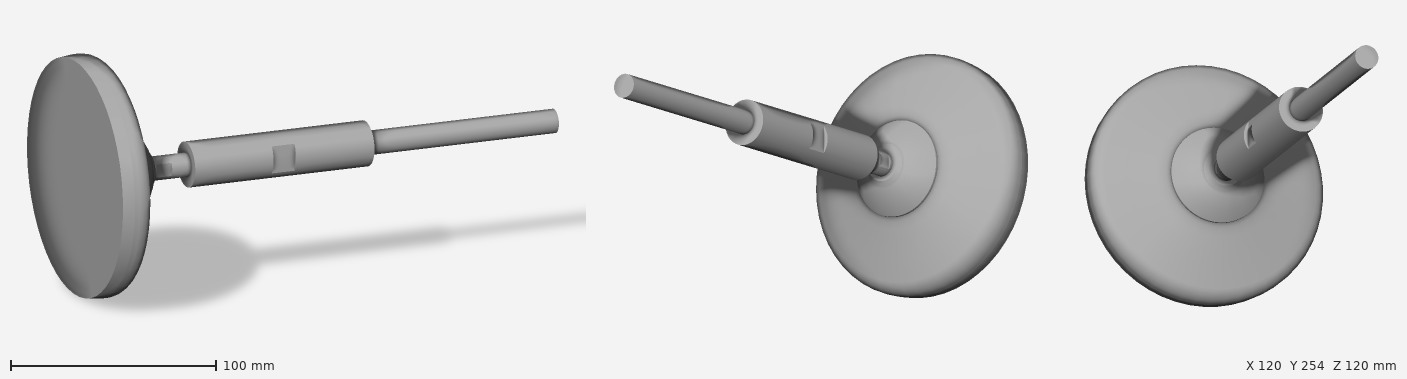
import cadquery as cq
import math

total_length = 254.0

rim_radius = 60.0
base_radius = 59.2
taper_height = 6.0
rim_top = 9.1
shoulder_radius = 7.5
cone_angle = math.radians(17.8)
dome_radius = 24.0
dome_base = 27.7
dome_mid_radius = 16.8
dome_mid = 34.3
dome_top_radius = 10.0
dome_top = 37.5
collar_radius = 10.7
collar_top_radius = 8.5
collar_top = 39.0

spindle_diameter = 12.0
spindle_across_flats = 10.0
spindle_flat_start = 41.0
spindle_flat_length = 8.1

sleeve_diameter = 22.5
sleeve_start = 59.0
sleeve_length = 95.0
sleeve_across_flats = 18.0
sleeve_flat_length = 12.0

base_y = -total_length / 2


def cylinder_along_y(diameter, start, length):
    """Cylinder on the Y axis, starting at a height above the resting face."""
    plane = cq.Plane(origin=(0, base_y + start, 0), xDir=(1, 0, 0), normal=(0, 1, 0))
    return cq.Workplane(plane).circle(diameter / 2).extrude(length)


def cut_wrench_flats(body, diameter, across_flats, start, length):
    """Cut a pair of flats facing +X and -X."""
    depth = (diameter - across_flats) / 2
    for side in (-1, 1):
        notch = cq.Workplane("XY").box(depth, length, diameter).translate(
            (side * (across_flats + depth) / 2, base_y + start + length / 2, 0)
        )
        body = body.cut(notch)
    return body


def make_foot():
    """Revolved foot: tapered rim, rounded shoulder, cone, dome and collar."""
    shoulder_end_radius = rim_radius - shoulder_radius * (1 - math.sin(cone_angle))
    shoulder_end = rim_top + shoulder_radius * math.cos(cone_angle)
    cone_top = shoulder_end + (shoulder_end_radius - dome_radius) * math.tan(cone_angle)
    profile = (
        cq.Workplane("XY")
        .lineTo(base_radius, 0)
        .lineTo(rim_radius, taper_height)
        .lineTo(rim_radius, rim_top)
        .tangentArcPoint((shoulder_end_radius, shoulder_end), relative=False)
        .lineTo(dome_radius, cone_top)
        .lineTo(dome_radius, dome_base)
        .threePointArc((dome_mid_radius, dome_mid), (dome_top_radius, dome_top))
        .lineTo(collar_radius, dome_top)
        .lineTo(collar_top_radius, collar_top)
        .lineTo(0, collar_top)
        .close()
    )
    return profile.revolve(360, (0, 0, 0), (0, 1, 0)).translate((0, base_y, 0))


def make_spindle():
    """Rod standing on the collar and running through the sleeve."""
    rod = cylinder_along_y(spindle_diameter, collar_top, total_length - collar_top)
    return cut_wrench_flats(
        rod, spindle_diameter, spindle_across_flats, spindle_flat_start, spindle_flat_length
    )


def make_sleeve():
    """Long nut around the spindle, with a bore matching it."""
    outer = cylinder_along_y(sleeve_diameter, sleeve_start, sleeve_length)
    bore = cylinder_along_y(spindle_diameter, sleeve_start, sleeve_length)
    flat_start = sleeve_start + (sleeve_length - sleeve_flat_length) / 2
    return cut_wrench_flats(
        outer.cut(bore), sleeve_diameter, sleeve_across_flats, flat_start, sleeve_flat_length
    )


foot = make_foot()
spindle = make_spindle()
sleeve = make_sleeve()

result = cq.Compound.makeCompound([foot.val(), spindle.val(), sleeve.val()])